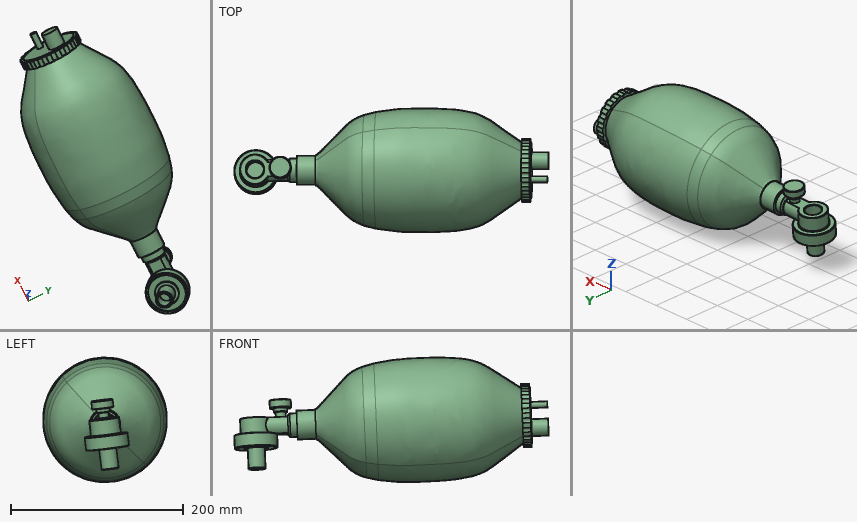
import math

import cadquery as cq

PITCH_ANGLE = 2.4
VALVE_ROLL = 7.0

BAG_DIAMETER = 143.5
BAG_START_X = -87.5
BAG_END_X = 151.6
BAG_START_RADIUS = 17.6
BAG_END_RADIUS = 32.0
FLARE_X = -83.8
FLARE_RADIUS = 19.8
SHOULDER_X = -51.0
SHOULDER_RADIUS = 53.0
FRONT_SEAM_X = -31.4
FRONT_SEAM_RADIUS = 64.2
REAR_SEAM_X = -17.6
REAR_SEAM_RADIUS = 67.7
CROWN_X = 28.0
REAR_BEND_X = 80.0
REAR_BEND_RADIUS = 69.7
REAR_CONE_X = 116.0
REAR_CONE_RADIUS = 57.0
PARTING_ANGLE = 46.3
NECK_ANGLE = 10.0
FRONT_CONE_ANGLE = 45.0
FRONT_SEAM_ANGLE = 18.0
REAR_SEAM_ANGLE = 11.0
REAR_BEND_ANGLE = -7.0
REAR_CONE_ANGLE = -36.0

NECK_DIAMETER = 33.84
NECK_START_X = -109.0
RING_DIAMETER = 27.8
RING_START_X = -119.5
RING_CHAMFER = 2.5

ARM_DIAMETER = 25.0
ARM_FLAT_HEIGHT = 9.5

VALVE_X = -157.3
TOWER_DIAMETER = 35.0
TOWER_TOP = 9.5
TOWER_RIM_CHAMFER = 0.6
TOWER_FOOT_DIAMETER = 37.0
TOWER_FOOT_HEIGHT = 0.8
TOWER_BORE_DIAMETER = 20.09
TOWER_BORE_DEPTH = 16.0
BORE_CHAMFER = 0.8
COLLAR_DIAMETER = 50.0
COLLAR_TOP = -9.3
COLLAR_BOTTOM = -25.0
COLLAR_CHAMFER = 0.8
RECESS_OUTER_DIAMETER = 44.0
RECESS_INNER_DIAMETER = 27.84
RECESS_DEPTH = 3.0
STEM_DIAMETER = 20.0
STEM_BOTTOM = -49.3
STEM_CHAMFER = 1.0
STEM_BORE_DIAMETER = 15.0
STEM_BORE_DEPTH = 20.0

KNOB_X = -127.4
KNOB_DIAMETER = 25.0
KNOB_BOTTOM = 20.2
KNOB_TOP = 29.8
KNOB_CHAMFER = 0.8
KNOB_FLANGE_DIAMETER = 16.0
KNOB_FLANGE_BOTTOM = 15.4
KNOB_FLANGE_CHAMFER = 0.8
KNOB_SHAFT_DIAMETER = 12.0

CAP_DIAMETER = 73.5
CAP_START_X = BAG_END_X
CAP_END_X = 161.0
CAP_RIDGES = 20
CAP_GROOVE_DEPTH = 1.5
CAP_FACE_DIAMETER = 65.0
CAP_FACE_END_X = 162.0
LARGE_PORT_DIAMETER = 20.0
LARGE_PORT_END_X = 181.4
LARGE_PORT_CENTER = (11.0, -14.4)
SMALL_PORT_DIAMETER = 7.5
SMALL_PORT_END_X = 181.2
SMALL_PORT_CENTER = (-10.5, 11.8)


def rod_along_x(diameter, start_x, end_x, center=(0, 0)):
    """Round rod parallel to X, centred at the given (y, z)."""
    plane = cq.Workplane("YZ", origin=(start_x, 0, 0))
    return plane.center(*center).circle(diameter / 2).extrude(end_x - start_x)


def rod_along_z(diameter, bottom, top, x):
    """Round rod parallel to Z, centred at (x, 0)."""
    plane = cq.Workplane("XY", origin=(x, 0, bottom))
    return plane.circle(diameter / 2).extrude(top - bottom)


def slope(angle):
    """Unit tangent of the bag outline rising at an angle in degrees."""
    return (math.cos(math.radians(angle)), math.sin(math.radians(angle)))


def make_bag():
    """Solid of revolution in two halves that meet along the lengthwise parting line."""
    flare = (FLARE_X, FLARE_RADIUS)
    shoulder = (SHOULDER_X, SHOULDER_RADIUS)
    front_seam = (FRONT_SEAM_X, FRONT_SEAM_RADIUS)
    rear_seam = (REAR_SEAM_X, REAR_SEAM_RADIUS)
    crown = (CROWN_X, BAG_DIAMETER / 2)
    rear_bend = (REAR_BEND_X, REAR_BEND_RADIUS)
    rear_cone = (REAR_CONE_X, REAR_CONE_RADIUS)
    bag_end = (BAG_END_X, BAG_END_RADIUS)
    level = slope(0)
    neck_slope = slope(NECK_ANGLE)
    front_cone_slope = slope(FRONT_CONE_ANGLE)
    front_seam_slope = slope(FRONT_SEAM_ANGLE)
    rear_seam_slope = slope(REAR_SEAM_ANGLE)
    rear_bend_slope = slope(REAR_BEND_ANGLE)
    rear_cone_slope = slope(REAR_CONE_ANGLE)
    half = (
        cq.Workplane("XY")
        .moveTo(BAG_START_X, 0)
        .lineTo(BAG_START_X, BAG_START_RADIUS)
        .spline([flare, shoulder, front_seam],
                [neck_slope, front_cone_slope, front_cone_slope, front_seam_slope],
                includeCurrent=True)
        .spline([rear_seam], [front_seam_slope, rear_seam_slope], includeCurrent=True)
        .spline([crown, rear_bend, rear_cone, bag_end],
                [rear_seam_slope, level, rear_bend_slope, rear_cone_slope, rear_cone_slope],
                includeCurrent=True)
        .lineTo(BAG_END_X, 0)
        .close()
        .revolve(180, (0, 0, 0), (1, 0, 0))
    )
    other_half = half.rotate((0, 0, 0), (1, 0, 0), 180)
    bag = half.union(other_half, clean=False)
    return bag.rotate((0, 0, 0), (1, 0, 0), PARTING_ANGLE)


def make_neck():
    """Round sleeve at the bag mouth with a smaller chamfered ring in front."""
    ring = rod_along_x(RING_DIAMETER, RING_START_X, NECK_START_X).faces("<X").chamfer(RING_CHAMFER)
    return rod_along_x(NECK_DIAMETER, NECK_START_X, BAG_START_X).union(ring)


def make_arm():
    """Round arm flattened above and below."""
    arm = rod_along_x(ARM_DIAMETER, VALVE_X, RING_START_X)
    slab_length = 2 * (RING_START_X - VALVE_X)
    slab = cq.Workplane("XY", origin=(VALVE_X, 0, 0)).box(slab_length, ARM_DIAMETER, 2 * ARM_FLAT_HEIGHT)
    return arm.intersect(slab)


def make_valve():
    """Bored tower, wide collar recessed underneath, bored stem, and the arm."""
    tower = rod_along_z(TOWER_DIAMETER, COLLAR_TOP, TOWER_TOP, VALVE_X)
    tower = tower.faces(">Z").chamfer(TOWER_RIM_CHAMFER)
    foot = rod_along_z(TOWER_FOOT_DIAMETER, COLLAR_TOP, COLLAR_TOP + TOWER_FOOT_HEIGHT, VALVE_X)
    collar = rod_along_z(COLLAR_DIAMETER, COLLAR_BOTTOM, COLLAR_TOP, VALVE_X)
    collar = collar.faces(">Z or <Z").chamfer(COLLAR_CHAMFER)
    recess_top = COLLAR_BOTTOM + RECESS_DEPTH
    recess = rod_along_z(RECESS_OUTER_DIAMETER, COLLAR_BOTTOM, recess_top, VALVE_X)
    recess = recess.cut(rod_along_z(RECESS_INNER_DIAMETER, COLLAR_BOTTOM, recess_top, VALVE_X))
    stem = rod_along_z(STEM_DIAMETER, STEM_BOTTOM, COLLAR_BOTTOM, VALVE_X)
    stem = stem.faces("<Z").chamfer(STEM_CHAMFER)
    stem_bore = rod_along_z(STEM_BORE_DIAMETER, STEM_BOTTOM, STEM_BOTTOM + STEM_BORE_DEPTH, VALVE_X)
    tower_bore = rod_along_z(TOWER_BORE_DIAMETER, TOWER_TOP - TOWER_BORE_DEPTH, TOWER_TOP, VALVE_X)
    body = tower.union(foot).union(make_arm()).union(collar.cut(recess)).union(stem.cut(stem_bore))
    body = body.cut(tower_bore)
    bore_mouth = cq.selectors.RadiusNthSelector(0)
    return body.faces(">Z").edges(bore_mouth).chamfer(BORE_CHAMFER)


def make_knob():
    """Round knob on a flanged shaft that stands on the arm."""
    knob = rod_along_z(KNOB_DIAMETER, KNOB_BOTTOM, KNOB_TOP, KNOB_X)
    knob = knob.faces(">Z or <Z").chamfer(KNOB_CHAMFER)
    flange = rod_along_z(KNOB_FLANGE_DIAMETER, KNOB_FLANGE_BOTTOM, KNOB_BOTTOM, KNOB_X)
    flange = flange.faces("<Z").chamfer(KNOB_FLANGE_CHAMFER)
    shaft = rod_along_z(KNOB_SHAFT_DIAMETER, 0, KNOB_FLANGE_BOTTOM, KNOB_X)
    return knob.union(flange).union(shaft)


def make_cap():
    """End cap whose rim alternates full-radius ridges with shallow round grooves."""
    radius = CAP_DIAMETER / 2
    step = 2 * math.pi / CAP_RIDGES

    def point(distance, ridge_number):
        angle = ridge_number * step
        return (distance * math.cos(angle), distance * math.sin(angle))

    outline = cq.Workplane("YZ", origin=(CAP_START_X, 0, 0)).moveTo(*point(radius, -0.25))
    for ridge in range(CAP_RIDGES):
        outline = outline.threePointArc(point(radius, ridge), point(radius, ridge + 0.25))
        groove_bottom = point(radius - CAP_GROOVE_DEPTH, ridge + 0.5)
        outline = outline.threePointArc(groove_bottom, point(radius, ridge + 0.75))
    cap = outline.close().extrude(CAP_END_X - CAP_START_X)
    face = rod_along_x(CAP_FACE_DIAMETER, CAP_END_X, CAP_FACE_END_X)
    large_port = rod_along_x(LARGE_PORT_DIAMETER, CAP_END_X, LARGE_PORT_END_X, LARGE_PORT_CENTER)
    small_port = rod_along_x(SMALL_PORT_DIAMETER, CAP_END_X, SMALL_PORT_END_X, SMALL_PORT_CENTER)
    return cap.union(face).union(large_port).union(small_port)


valve = make_valve().union(make_knob()).rotate((0, 0, 0), (1, 0, 0), -VALVE_ROLL)
assembly = make_bag()
for fitting in (make_neck(), valve, make_cap()):
    assembly = assembly.union(fitting, clean=False)
result = assembly.rotate((0, 0, 0), (0, 1, 0), -PITCH_ANGLE)